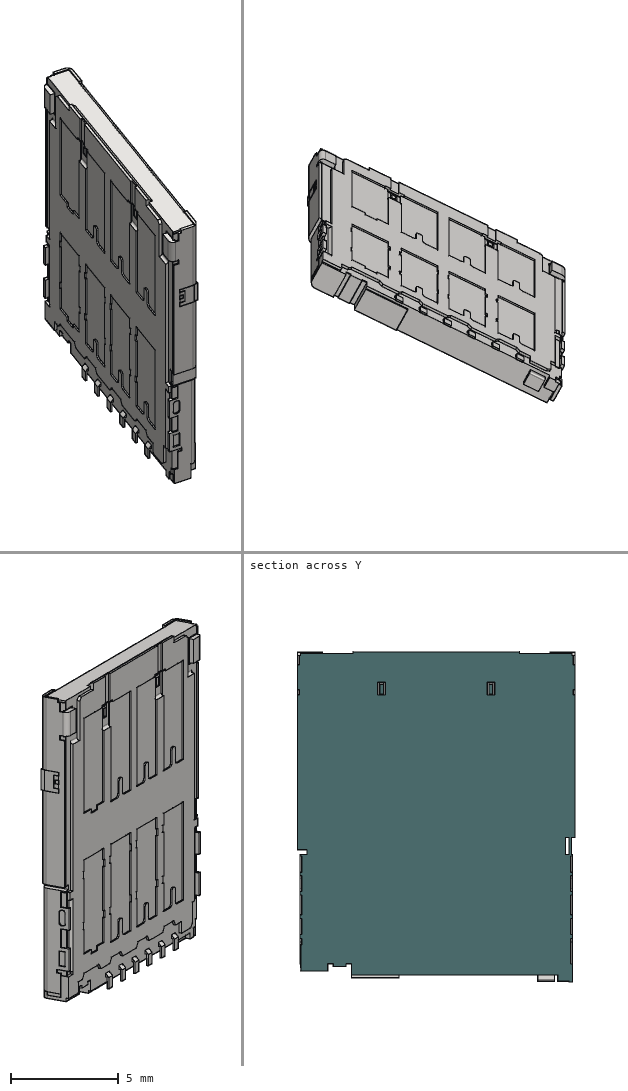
import cadquery as cq
BACK_Y = 0.73
FRONT_Y = -0.73
PLATE_Y = -0.68
SHELL_Y = -0.55
BORDER_Y = -0.53
RELIEF_Y = -0.28

UPPER_HALF_X = 12.9 / 2
LOWER_HALF_X = 6.33
UPPER_INNER_X = 6.3
LOWER_INNER_X = 6.16
TOP_Z = 15.28
UPPER_END_Z = 6.15
LOWER_TOP_Z = 5.93
SIDE_BOTTOM_Z = 0.85
BASE_Z = 0.32
BEND_RADIUS = 0.3
RIM_THICK = 0.14
RIM_DROP = 0.1
RIM_TAB_Z = 15.34
RIM_TAB_INNER_X = 5.28
RIM_TAB_FRONT_Y = -0.17
SLOT_X = 6.01
RIGHT_UPPER_END_Z = 6.72
RIGHT_STRIP_INNER_X = 6.16
RIGHT_STRIP_OUTER_X = 6.29

LEFT_FOOT_X = -6.3
LEFT_FOOT_END_X = -5.04
LEFT_FOOT_Z = 0.51
NOTCH_Z = 0.87
NOTCH_TAB_LEFT_X = -4.79
NOTCH_TAB_RIGHT_X = -4.19
NOTCH_TAB_Z = 0.73
BASE_LEFT_X = -3.94
BASE_RIGHT_X = LOWER_INNER_X
COVER_LIP_RIGHT_X = -1.73
COVER_LIP_Z = 0.2
COVER_LIP_FRONT_Y = -0.43
STUD_LEFT_X = 4.71
STUD_RIGHT_X = 5.5
STUD_FRONT_Y = -0.39
STUD_BACK_Y = 0.31
STUD_RADIUS = 0.1
CORNER_LEFT_X = 5.64
CORNER_RIGHT_X = 6.25
CORNER_TOP_Z = 0.48
CORNER_STEP_X = 5.96
CORNER_STEP_Y = -0.5
BOTTOM_Z = 0.03
SPUR_FRONT_Y = -0.46
SPUR_BACK_Y = 0.4
LEFT_WALL_BACK_Y = 0.45
LEFT_WALL_X = -6.32

PLATE_HALF_X = 5.84
PLATE_TOP_Z = 15.45
PLATE_SHOULDER_X = 5.2
LIP_HALF_X = 3.88
LIP_TOP_BACK_Y = -0.55
LIP_BOTTOM_BACK_Y = -0.34
SHOULDER_Z = 15.13
STEP_Z = 13.04
RAMP_RISE = 0.12
RAMP_ROOT = 0.08
CORNER_CUT = 0.15
WING_TOP_Z = 5.84
WING_BOTTOM_Z = 5.45
POCKET_END_Z = 1.75
RIGHT_POCKET_END_Z = 1.87
LEG_X = -6.3
LEG_BOTTOM_Z = 0.68
HEEL_X = -5.33
FOOT_INNER_X = 4.57
FOOT_OUTER_X = 5.64
FOOT_CUT = 0.19
FOOT_Z = 0.65
EDGE_LOW_Z = 1.22
EDGE_RISE = 0.26
EDGE_RUN = 0.17
EDGE_BUMPS = ((-4.79, -3.34), (-2.15, -1.24), (0.4, 1.31), (2.94, 3.85))
POCKET_SLOPE = 0.12

WINDOW_WIDTH = 1.92
WINDOW_CENTRES = (-3.83, -1.25, 1.25, 3.83)
WINDOW_DEPTH = 0.08
WINDOW_ROWS = ((14.0, 9.13), (7.05, 2.22))
PLAIN_WINDOW_LIFT = 0.2
KEY_OFFSET_X = 0.05
KEY_WIDTH = 0.6
TONGUE_WIDTH = 0.32
TONGUE_HEIGHT = 0.9
TONGUE_FLARE = 0.19
TONGUE_ROUND = 0.12
EAR_HEIGHT = 0.34
EAR_CENTRES_Z = (6.3, 3.8)
EAR_SIZES = ((0.05, 0.1), (0.1, 0.05), (0.05, 0.1), (0.1, 0))

GROOVE_CENTRE_X = (WINDOW_CENTRES[2] + WINDOW_CENTRES[3]) / 2
GROOVE_WIDTH = 0.43
GROOVE_DEPTH = 0.08
WIDE_GROOVE_DEPTH = 0.14
WIDE_GROOVE_WIDTH = WINDOW_CENTRES[3] - WINDOW_CENTRES[2] - WINDOW_WIDTH
WIDE_GROOVE_END_Z = 12.82
BAR_WIDTH = 0.99
BAR_HEIGHT = 0.1
BAR_EXTRA_DEPTH = 0.03
LATCH_HOLE_WIDTH = 0.34
LATCH_HOLE_TOP_Z = 13.94
LATCH_HOLE_BOTTOM_Z = 13.35
LATCH_HOLE_DEPTH = 0.19
LATCH_NUB_WIDTH = 0.19
LATCH_NUB_SLOPE = 0.14
LATCH_NUB_GAP = 0.03

FOLD_INNER_X = 5.67
FOLD_TOP_Z = 14.75
FOLD_BOTTOM_Z = 13.58
FOLD_RADIUS = 0.25
FOLD_GAP = 0.06
FOLD_RELIEF_HEIGHT = 0.46
FOLD_RELIEF_BOTTOM = 0.22
FOLD_RELIEF_Y = -0.3
FOLD_RELIEF_DEPTH = 0.08

TAB_TOP_Z = 11.75
TAB_BOTTOM_Z = 10.74
TAB_FRONT_Y = -0.25
TAB_BEND_Y = 0.53
TAB_SET_BACK = 0.023
DETENT_Y = 0.05
DETENT_TOP_Z = 11.57
DETENT_BOTTOM_Z = 10.94
DETENT_DEPTH = 0.06
DETENT_NUB = 0.19

SIDE_RELIEFS = ((5.85, 5.11), (4.05, 3.14), (2.02, 0.68))
LOWER_HOOKS = ((5.11, 4.05), (3.14, 2.02))
RELIEF_DEPTH = 0.08
CATCH_Y = -0.08
CATCH_BOTTOM_Z = 1.85
WINDOW_BACK_Y = -0.19
WINDOW_FRONT_Y = -0.53
OVAL_TOP_Z = 4.97
OVAL_BOTTOM_Z = 4.2
SQUARE_TOP_Z = 2.95
SQUARE_BOTTOM_Z = 2.22
OVAL_RADIUS = 0.15

TAIL_COUNT = 6
TAIL_FIRST_X = -2.32
TAIL_PITCH = 1.27
TAIL_WIDTH = 0.35
TAIL_THICK = 0.1
TAIL_TOP_Z = 0.8
TAIL_BEND_Z = 0.59


def box(x0, x1, y0, y1, z0, z1):
    """Block between two corners, given in any order."""
    low = (min(x0, x1), min(y0, y1), min(z0, z1))
    size = (abs(x1 - x0), abs(y1 - y0), abs(z1 - z0))
    return cq.Workplane("XY").box(*size, centered=False).translate(low)


def front_prism(points, y_front, y_back):
    """Outline of (x, z) points, extruded from the back to the front."""
    return cq.Workplane("XZ", origin=(0, y_back, 0)).polyline(points).close().extrude(y_back - y_front)


def side_prism(points, x0, x1):
    """Outline of (y, z) points, extruded along X."""
    return cq.Workplane("YZ", origin=(x0, 0, 0)).polyline(points).close().extrude(x1 - x0)


def both_sides(shape):
    """The shape together with its mirror image across the YZ plane."""
    return shape.union(shape.mirror("YZ"))


def shell_body():
    """Upper and lower shell blocks with the sunken border and the stepped top."""
    upper = box(-UPPER_HALF_X, UPPER_HALF_X, SHELL_Y, BACK_Y, LOWER_TOP_Z, TOP_Z)
    upper = upper.edges("|Z and >Y").fillet(BEND_RADIUS)
    lower = box(-LOWER_HALF_X, LOWER_HALF_X, SHELL_Y, BACK_Y, SIDE_BOTTOM_Z, LOWER_TOP_Z)
    lower = lower.edges("|Z and >Y").fillet(BEND_RADIUS)
    rim = box(-UPPER_HALF_X, UPPER_HALF_X, SHELL_Y, BACK_Y, TOP_Z - RIM_DROP, TOP_Z)
    inset = UPPER_HALF_X - RIM_THICK
    core = box(-inset, inset, SHELL_Y, BACK_Y - RIM_THICK, TOP_Z - RIM_DROP, TOP_Z)
    body = upper.union(lower).cut(rim.cut(core))
    body = body.cut(box(-UPPER_INNER_X, UPPER_INNER_X, SHELL_Y, BORDER_Y, LOWER_TOP_Z, TOP_Z))
    return body.cut(box(-LOWER_INNER_X, LOWER_INNER_X, SHELL_Y, BORDER_Y, SIDE_BOTTOM_Z, LOWER_TOP_Z))


def rim_tabs():
    """Raised rim along each side, turning the back corner into a short tab."""
    root_z = TOP_Z - RIM_DROP
    wrap = box(-UPPER_HALF_X, -RIM_TAB_INNER_X, RIM_TAB_FRONT_Y, BACK_Y, root_z, RIM_TAB_Z)
    wrap = wrap.edges("|Z and >Y and <X").fillet(BEND_RADIUS)
    inside = box(
        -UPPER_HALF_X + RIM_THICK, -RIM_TAB_INNER_X,
        RIM_TAB_FRONT_Y, BACK_Y - RIM_THICK, root_z, RIM_TAB_Z,
    )
    return both_sides(wrap.cut(inside))


def side_slots():
    """Open gaps between the upper and lower shell; on the right a thin strip is left standing."""
    left = box(-UPPER_HALF_X, -SLOT_X, FRONT_Y, BACK_Y, LOWER_TOP_Z, UPPER_END_Z)
    right = box(SLOT_X, RIGHT_STRIP_INNER_X, FRONT_Y, BACK_Y, LOWER_TOP_Z, RIGHT_UPPER_END_Z)
    right_edge = box(RIGHT_STRIP_OUTER_X, UPPER_HALF_X, FRONT_Y, BACK_Y, LOWER_TOP_Z, RIGHT_UPPER_END_Z)
    return left.union(right).union(right_edge)


def base():
    """Bottom of the housing below the shell sides, with its feet and studs."""
    outline = [
        (LEFT_FOOT_X, POCKET_END_Z), (LEFT_FOOT_X, LEFT_FOOT_Z), (LEFT_FOOT_END_X, LEFT_FOOT_Z),
        (LEFT_FOOT_END_X, NOTCH_Z), (NOTCH_TAB_LEFT_X, NOTCH_Z), (NOTCH_TAB_LEFT_X, NOTCH_TAB_Z),
        (NOTCH_TAB_RIGHT_X, NOTCH_TAB_Z), (NOTCH_TAB_RIGHT_X, NOTCH_Z), (BASE_LEFT_X, NOTCH_Z),
        (BASE_LEFT_X, BASE_Z), (BASE_RIGHT_X, BASE_Z), (BASE_RIGHT_X, RIGHT_POCKET_END_Z),
        (FOOT_OUTER_X, RIGHT_POCKET_END_Z), (FOOT_OUTER_X, POCKET_END_Z),
    ]
    cover_lip = box(BASE_LEFT_X, COVER_LIP_RIGHT_X, COVER_LIP_FRONT_Y, BACK_Y, COVER_LIP_Z, NOTCH_Z)
    stud = box(STUD_LEFT_X, STUD_RIGHT_X, STUD_FRONT_Y, STUD_BACK_Y, BOTTOM_Z, CORNER_TOP_Z)
    stud = stud.edges("|X and <Y and <Z").fillet(STUD_RADIUS)
    corner = box(CORNER_LEFT_X, CORNER_RIGHT_X, SHELL_Y, 0, BOTTOM_Z, CORNER_TOP_Z)
    corner_step = box(CORNER_STEP_X, CORNER_RIGHT_X, SHELL_Y, CORNER_STEP_Y, BOTTOM_Z, CORNER_TOP_Z)
    spur = box(LOWER_INNER_X, LOWER_HALF_X, SPUR_FRONT_Y, SPUR_BACK_Y, 0, SIDE_BOTTOM_Z)
    left_wall = box(LEFT_WALL_X, LEFT_FOOT_X, RELIEF_Y, LEFT_WALL_BACK_Y, LEG_BOTTOM_Z, SIDE_BOTTOM_Z)
    bottom = front_prism(outline, SHELL_Y, BACK_Y)
    bottom = bottom.edges("|Z and >Y and <X").fillet(BEND_RADIUS)
    bottom = bottom.union(cover_lip).union(stud).union(left_wall)
    return bottom.union(corner).cut(corner_step).union(spur)


def plate():
    """Raised plate with its top lip, side wings, left leg, right foot and stepped lower edge."""
    edge_z = EDGE_LOW_Z
    bump_z = EDGE_LOW_Z + EDGE_RISE
    outline = [
        (-LIP_HALF_X, PLATE_TOP_Z), (-LIP_HALF_X, SHOULDER_Z),
        (-PLATE_SHOULDER_X + CORNER_CUT, SHOULDER_Z), (-PLATE_SHOULDER_X, SHOULDER_Z - CORNER_CUT),
        (-PLATE_SHOULDER_X, STEP_Z), (-PLATE_HALF_X, STEP_Z),
        (-PLATE_HALF_X, WING_TOP_Z), (-LOWER_INNER_X, WING_TOP_Z),
        (-LOWER_INNER_X, WING_BOTTOM_Z), (-PLATE_HALF_X, WING_BOTTOM_Z),
        (-PLATE_HALF_X, POCKET_END_Z), (LEG_X, POCKET_END_Z),
        (LEG_X, LEG_BOTTOM_Z), (HEEL_X, LEG_BOTTOM_Z), (HEEL_X, edge_z),
    ]
    for left, right in EDGE_BUMPS:
        outline += [
            (left - EDGE_RUN, edge_z), (left, bump_z),
            (right, bump_z), (right + EDGE_RUN, edge_z),
        ]
    outline += [
        (FOOT_INNER_X, edge_z), (FOOT_INNER_X, FOOT_Z), (FOOT_OUTER_X - FOOT_CUT, FOOT_Z),
        (FOOT_OUTER_X, FOOT_Z + FOOT_CUT), (FOOT_OUTER_X, RIGHT_POCKET_END_Z),
        (PLATE_HALF_X, RIGHT_POCKET_END_Z), (PLATE_HALF_X, WING_BOTTOM_Z),
        (LOWER_INNER_X, WING_BOTTOM_Z), (LOWER_INNER_X, WING_TOP_Z), (PLATE_HALF_X, WING_TOP_Z),
        (PLATE_HALF_X, STEP_Z), (PLATE_SHOULDER_X, STEP_Z),
        (PLATE_SHOULDER_X, SHOULDER_Z - CORNER_CUT), (PLATE_SHOULDER_X - CORNER_CUT, SHOULDER_Z),
        (LIP_HALF_X, SHOULDER_Z), (LIP_HALF_X, PLATE_TOP_Z),
    ]
    lip = [
        (PLATE_Y, PLATE_TOP_Z), (LIP_TOP_BACK_Y, PLATE_TOP_Z),
        (LIP_BOTTOM_BACK_Y, TOP_Z), (LIP_BOTTOM_BACK_Y, SHOULDER_Z), (PLATE_Y, SHOULDER_Z),
    ]
    ramp = (
        cq.Workplane("YZ", origin=(-PLATE_HALF_X, 0, 0))
        .moveTo(BORDER_Y, STEP_Z + 2 * RAMP_RISE)
        .lineTo(BORDER_Y, STEP_Z + RAMP_RISE)
        .tangentArcPoint((PLATE_Y, STEP_Z), relative=False)
        .lineTo(BORDER_Y + RAMP_ROOT, STEP_Z)
        .lineTo(BORDER_Y + RAMP_ROOT, STEP_Z + 2 * RAMP_RISE)
        .close()
        .extrude(PLATE_HALF_X - PLATE_SHOULDER_X)
    )
    sheet = front_prism(outline, PLATE_Y, BORDER_Y)
    sheet = sheet.union(side_prism(lip, -LIP_HALF_X, LIP_HALF_X))
    return sheet.union(both_sides(ramp))


def pocket_bevels():
    """Sloping walls of the plate beside the lower shell sides."""
    half_x = PLATE_HALF_X
    wedge = (
        cq.Workplane("XY", origin=(0, 0, RIGHT_POCKET_END_Z))
        .polyline([(-half_x, PLATE_Y), (-half_x, BORDER_Y), (-half_x - POCKET_SLOPE, BORDER_Y)])
        .close()
        .extrude(WING_BOTTOM_Z - RIGHT_POCKET_END_Z)
    )
    return both_sides(wedge)


def tongue(centre_x, bottom_z):
    """Rounded tongue of the plate, flaring into the lower edge of a window."""
    half = TONGUE_WIDTH / 2
    foot = half + TONGUE_FLARE
    top_z = bottom_z + TONGUE_HEIGHT
    return (
        cq.Workplane("XZ", origin=(centre_x, PLATE_Y + WINDOW_DEPTH, 0))
        .moveTo(-foot, bottom_z)
        .radiusArc((-half, bottom_z + TONGUE_FLARE), -TONGUE_FLARE)
        .lineTo(-half, top_z - TONGUE_ROUND)
        .radiusArc((-half + TONGUE_ROUND, top_z), TONGUE_ROUND)
        .lineTo(half - TONGUE_ROUND, top_z)
        .radiusArc((half, top_z - TONGUE_ROUND), TONGUE_ROUND)
        .lineTo(half, bottom_z + TONGUE_FLARE)
        .radiusArc((foot, bottom_z), -TONGUE_FLARE)
        .close()
        .extrude(WINDOW_DEPTH)
    )


def window_box(x0, x1, z0, z1):
    """Block as deep as a contact window."""
    return box(x0, x1, PLATE_Y, PLATE_Y + WINDOW_DEPTH, z0, z1)


def contact_window(index, top_z, bottom_z):
    """The first window of a row has a key at its lower edge, the others a tongue."""
    centre = WINDOW_CENTRES[index]
    left = centre - WINDOW_WIDTH / 2
    right = centre + WINDOW_WIDTH / 2
    if index > 0:
        return window_box(left, right, bottom_z, top_z).cut(tongue(centre, bottom_z))
    key_x = centre + KEY_OFFSET_X
    key = window_box(key_x - KEY_WIDTH / 2, key_x + KEY_WIDTH / 2, bottom_z, top_z)
    return window_box(left, right, bottom_z + PLAIN_WINDOW_LIFT, top_z).union(key)


def window_ears(index):
    """Two pairs of small side bulges of a lower window."""
    left_ear, right_ear = EAR_SIZES[index]
    left = WINDOW_CENTRES[index] - WINDOW_WIDTH / 2 - left_ear
    right = WINDOW_CENTRES[index] + WINDOW_WIDTH / 2 + right_ear
    half = EAR_HEIGHT / 2
    high, low = EAR_CENTRES_Z
    ears = window_box(left, right, low - half, low + half)
    return ears.union(window_box(left, right, high - half, high + half))


def contact_windows():
    """Both rows of windows."""
    upper_row, lower_row = WINDOW_ROWS
    windows = cq.Workplane("XY")
    for index in range(len(WINDOW_CENTRES)):
        windows = windows.union(contact_window(index, *upper_row))
        windows = windows.union(contact_window(index, *lower_row))
        windows = windows.union(window_ears(index))
    return windows


def latch_groove(centre_x):
    """Groove from the top edge, widening between two windows and closed by a ramp."""
    floor_y = PLATE_Y + WIDE_GROOVE_DEPTH
    bar_z = WINDOW_ROWS[0][0]
    narrow = box(-GROOVE_WIDTH / 2, GROOVE_WIDTH / 2, PLATE_Y, PLATE_Y + GROOVE_DEPTH, bar_z, PLATE_TOP_Z)
    wide = (
        cq.Workplane("YZ", origin=(-WIDE_GROOVE_WIDTH / 2, 0, 0))
        .moveTo(PLATE_Y, bar_z)
        .lineTo(floor_y, bar_z)
        .lineTo(floor_y, WIDE_GROOVE_END_Z + RAMP_RISE)
        .tangentArcPoint((PLATE_Y, WIDE_GROOVE_END_Z), relative=False)
        .close()
        .extrude(WIDE_GROOVE_WIDTH)
    )
    bar = box(-BAR_WIDTH / 2, BAR_WIDTH / 2, PLATE_Y, floor_y + BAR_EXTRA_DEPTH, bar_z, bar_z + BAR_HEIGHT)
    return narrow.union(wide).union(bar).translate((centre_x, 0, 0))


def latch_hole(centre_x):
    """Small hole in the groove floor holding a nub with a sloping top."""
    floor_y = PLATE_Y + WIDE_GROOVE_DEPTH
    deep_y = floor_y + LATCH_HOLE_DEPTH
    half = LATCH_HOLE_WIDTH / 2
    hole = box(-half, half, PLATE_Y, deep_y, LATCH_HOLE_BOTTOM_Z, LATCH_HOLE_TOP_Z)
    nub_profile = [
        (deep_y, LATCH_HOLE_TOP_Z - LATCH_NUB_GAP), (floor_y, LATCH_HOLE_TOP_Z - LATCH_NUB_SLOPE),
        (floor_y, LATCH_HOLE_BOTTOM_Z + LATCH_NUB_GAP), (deep_y, LATCH_HOLE_BOTTOM_Z + LATCH_NUB_GAP),
    ]
    nub = side_prism(nub_profile, -LATCH_NUB_WIDTH / 2, LATCH_NUB_WIDTH / 2)
    return hole.cut(nub).translate((centre_x, 0, 0))


def upper_folds():
    """Hooks at the top corners of the shell, bent over the front."""
    fold = box(-UPPER_HALF_X, -FOLD_INNER_X, FRONT_Y, FOLD_RELIEF_Y, FOLD_BOTTOM_Z, FOLD_TOP_Z)
    return both_sides(fold.edges("|Z and <X and <Y").fillet(FOLD_RADIUS))


def upper_fold_reliefs():
    """Gap around each hook in the front face, and cut-outs above and below it in the side."""
    outer = -UPPER_HALF_X
    floor_y = BORDER_Y + FOLD_GAP
    gap = box(
        outer, -FOLD_INNER_X + FOLD_GAP, FRONT_Y, floor_y,
        FOLD_BOTTOM_Z - FOLD_GAP, FOLD_TOP_Z + FOLD_GAP,
    )
    above = box(
        outer, outer + FOLD_RELIEF_DEPTH, FRONT_Y, FOLD_RELIEF_Y,
        FOLD_TOP_Z, FOLD_TOP_Z + FOLD_RELIEF_HEIGHT,
    )
    below = box(
        outer, outer + FOLD_RELIEF_DEPTH, FRONT_Y, FOLD_RELIEF_Y,
        FOLD_BOTTOM_Z - FOLD_RELIEF_BOTTOM, FOLD_BOTTOM_Z,
    )
    return both_sides(gap.union(above).union(below))


def side_tabs():
    """Square corners of the shell at the side tabs."""
    outer = -UPPER_HALF_X
    return both_sides(box(outer, outer + BEND_RADIUS, 0, BACK_Y, TAB_BOTTOM_Z, TAB_TOP_Z))


def side_tab_cuts():
    """Set-back faces of the side tabs, and the detent recess with its nub."""
    outer = -UPPER_HALF_X
    face = box(outer, outer + TAB_SET_BACK, TAB_FRONT_Y, TAB_BEND_Y, TAB_BOTTOM_Z, TAB_TOP_Z)
    back = box(outer, outer + 2 * TAB_SET_BACK, TAB_BEND_Y, BACK_Y, TAB_BOTTOM_Z, TAB_TOP_Z)
    detent = box(outer, outer + DETENT_DEPTH, DETENT_Y, TAB_FRONT_Y, DETENT_BOTTOM_Z, DETENT_TOP_Z)
    middle_z = (DETENT_TOP_Z + DETENT_BOTTOM_Z) / 2
    nub = box(
        outer, outer + DETENT_DEPTH, DETENT_Y - DETENT_NUB / 2, TAB_FRONT_Y,
        middle_z - DETENT_NUB / 2, middle_z + DETENT_NUB / 2,
    )
    return both_sides(face.union(back).union(detent.cut(nub)))


def lower_side_cuts():
    """Cut-outs between the lower hooks, with an oval and a square catch window."""
    outer = -LOWER_HALF_X
    inner = outer + RELIEF_DEPTH
    cuts = box(outer, inner, CATCH_Y, RELIEF_Y, CATCH_BOTTOM_Z, SIDE_RELIEFS[-1][0])
    for top_z, bottom_z in SIDE_RELIEFS:
        cuts = cuts.union(box(outer, inner, RELIEF_Y, FRONT_Y, bottom_z, top_z))
    oval = box(outer, inner, WINDOW_BACK_Y, WINDOW_FRONT_Y, OVAL_BOTTOM_Z, OVAL_TOP_Z)
    oval = oval.edges("|X").fillet(OVAL_RADIUS)
    square = box(outer, inner, WINDOW_BACK_Y, WINDOW_FRONT_Y, SQUARE_BOTTOM_Z, SQUARE_TOP_Z)
    return both_sides(cuts.union(oval).union(square))


def lower_hooks():
    """Tips of the lower shell standing proud of the plate."""
    hooks = cq.Workplane("XY")
    for top_z, bottom_z in LOWER_HOOKS:
        hooks = hooks.add(box(-LOWER_HALF_X, -LOWER_INNER_X, FRONT_Y, BORDER_Y, bottom_z, top_z))
    return both_sides(hooks.combine())


def solder_tails():
    """Row of bent tails leaving the sunken edge of the front face."""
    inner_y = FRONT_Y + TAIL_THICK
    profile = [
        (BORDER_Y, TAIL_TOP_Z), (FRONT_Y, TAIL_BEND_Z), (FRONT_Y, BOTTOM_Z),
        (inner_y, BOTTOM_Z), (inner_y, TAIL_BEND_Z), (BORDER_Y, TAIL_BEND_Z),
    ]
    tails = cq.Workplane("XY")
    for index in range(TAIL_COUNT):
        centre_x = TAIL_FIRST_X + index * TAIL_PITCH
        tails = tails.add(side_prism(profile, centre_x - TAIL_WIDTH / 2, centre_x + TAIL_WIDTH / 2))
    return tails.combine()


result = shell_body().cut(lower_side_cuts()).union(rim_tabs()).union(side_tabs()).cut(side_tab_cuts())
result = result.union(base()).union(plate()).union(pocket_bevels())
result = result.cut(upper_fold_reliefs()).union(upper_folds()).union(lower_hooks())
result = result.cut(contact_windows())
for groove_x in (-GROOVE_CENTRE_X, GROOVE_CENTRE_X):
    result = result.cut(latch_groove(groove_x)).cut(latch_hole(groove_x))
result = result.cut(side_slots()).union(solder_tails())